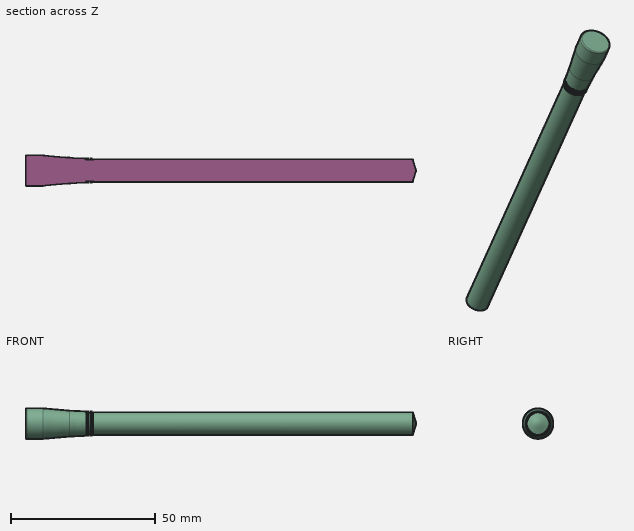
import cadquery as cq

total_length = 135.5
head_end = 6.0
taper_end = 15.2
collar_end = 21.0
ring_width = 0.4
groove_width = 0.5
tip_length = 1.2

head_diameter = 10.7
taper_diameter = 9.1
collar_diameter = 8.5
groove_diameter = 7.6
shaft_diameter = 8.0

head_edge_radius = 0.4
ring_count = 2


def head():
    """Cylindrical head, tapering in two stages down to the collar; axis on X."""
    outline = (
        cq.Workplane("XZ")
        .lineTo(0, head_diameter / 2)
        .lineTo(head_end, head_diameter / 2)
        .lineTo(taper_end, taper_diameter / 2)
        .lineTo(collar_end, collar_diameter / 2)
        .lineTo(collar_end, 0)
        .close()
    )
    solid = outline.revolve(360, (0, 0, 0), (1, 0, 0))
    return solid.faces("<X").edges().fillet(head_edge_radius)


def disc(start, length, diameter):
    """Cylinder along X that begins at the given place."""
    return cq.Workplane("YZ", origin=(start, 0, 0)).circle(diameter / 2).extrude(length)


def shaft(start):
    """Long plain shaft that ends in a shallow cone."""
    shoulder = total_length - tip_length
    outline = (
        cq.Workplane("XZ")
        .moveTo(start, 0)
        .lineTo(start, shaft_diameter / 2)
        .lineTo(shoulder, shaft_diameter / 2)
        .lineTo(total_length, 0)
        .close()
    )
    return outline.revolve(360, (0, 0, 0), (1, 0, 0))


result = head()
position = collar_end
for _ in range(ring_count):
    result = result.union(disc(position, groove_width, groove_diameter))
    position += groove_width
    result = result.union(disc(position, ring_width, collar_diameter))
    position += ring_width
result = result.union(disc(position, groove_width, groove_diameter))
result = result.union(shaft(position + groove_width))